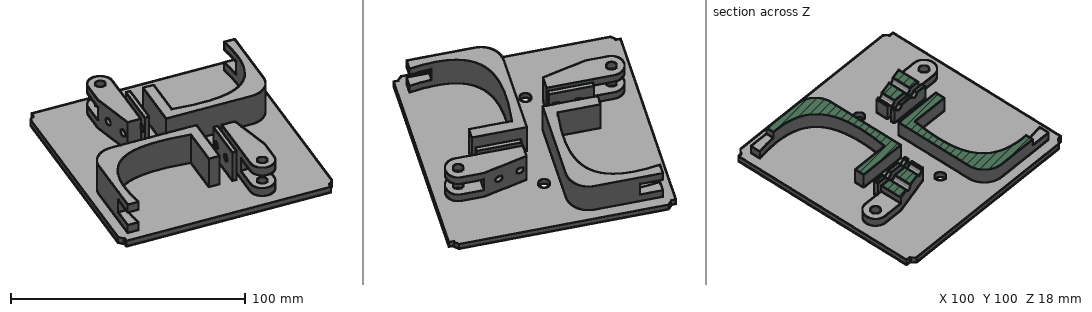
import cadquery as cq

PLATE_SIZE = 100.0
PLATE_THICKNESS = 3.0
CORNER_NOTCH = 2.2
CORNER_BEVEL = 1.7
PLATE_HOLE_DIAMETER = 5.0
PLATE_HOLE_X = 2.25
PLATE_HOLE_Y = 25.0

WALL_HEIGHT = 15.0
WALL_MIDDLE_Z = PLATE_THICKNESS + WALL_HEIGHT / 2
SLOT_HEIGHT = 6.7

HOOK_TIP_X = -45.0
HOOK_BACK_X = -4.75
HOOK_TOP_Y = 45.0
HOOK_BOTTOM_Y = -5.0
HOOK_THICKNESS = 5.0
HOOK_CORNER_RADIUS = 10.0
HOOK_SLOT_LENGTH = 10.0
FOOT_TIP_X = -29.0
INNER_CURVE_END_X = -10.0
INNER_CURVE_LOWER_HANDLE = (-6.0, 30.5)
INNER_CURVE_UPPER_HANDLE = (-12.5, 45.5)

CLAMP_LENGTH = 20.0
CLAMP_END_X = FOOT_TIP_X + CLAMP_LENGTH
STRIP_TOP_Y = -11.0
STRIP_THICKNESS = 2.0
LUG_X = -39.0
LUG_Y = -20.5
LUG_RADIUS = 5.6
PIN_HOLE_DIAMETER = 4.5
ARM_END_WIDTH = 6.2
SCREW_HOLE_DIAMETER = 3.3
SCREW_XS = (-22.0, -12.0)


def box(x_min, x_max, y_min, y_max, z_min, height):
    """Axis-aligned block given by its limits in X and Y, its floor and its height."""
    block = cq.Workplane("XY").box(x_max - x_min, y_max - y_min, height, centered=False)
    return block.translate((x_min, y_min, z_min))


def prong_slot(x_min, x_max, y_min, y_max):
    """Cutter for the gap at mid height of a wall."""
    return box(x_min, x_max, y_min, y_max, WALL_MIDDLE_Z - SLOT_HEIGHT / 2, SLOT_HEIGHT)


def wall_plane():
    """Workplane on top of the plate, where the walls start."""
    return cq.Workplane("XY").workplane(offset=PLATE_THICKNESS)


def turned(body):
    """Copy of a body turned half a revolution about the plate's centre."""
    return body.rotate((0, 0, 0), (0, 0, 1), 180)


def make_plate():
    half = PLATE_SIZE / 2
    step = half - CORNER_NOTCH
    bevel_x = step - CORNER_BEVEL
    bevel_y = half - CORNER_BEVEL
    outline = []
    for sign_x, sign_y in ((1, 1), (-1, 1), (-1, -1), (1, -1)):
        corner = [
            (sign_x * half, sign_y * step),
            (sign_x * step, sign_y * step),
            (sign_x * step, sign_y * bevel_y),
            (sign_x * bevel_x, sign_y * half),
        ]
        if sign_x != sign_y:
            corner.reverse()
        outline += corner
    plate = cq.Workplane("XY").polyline(outline).close().extrude(PLATE_THICKNESS)
    hole_centres = [(PLATE_HOLE_X, PLATE_HOLE_Y), (-PLATE_HOLE_X, -PLATE_HOLE_Y)]
    holes = cq.Workplane("XY").pushPoints(hole_centres).circle(PLATE_HOLE_DIAMETER / 2)
    return plate.cut(holes.extrude(PLATE_THICKNESS))


def make_hook():
    foot_top_y = HOOK_BOTTOM_Y + HOOK_THICKNESS
    tip_low_y = HOOK_TOP_Y - HOOK_THICKNESS
    inner_curve = [
        (INNER_CURVE_END_X, foot_top_y),
        INNER_CURVE_LOWER_HANDLE,
        INNER_CURVE_UPPER_HANDLE,
        (HOOK_TIP_X, tip_low_y),
    ]
    hook = (
        wall_plane()
        .moveTo(HOOK_TIP_X, HOOK_TOP_Y)
        .lineTo(HOOK_BACK_X - HOOK_CORNER_RADIUS, HOOK_TOP_Y)
        .radiusArc((HOOK_BACK_X, HOOK_TOP_Y - HOOK_CORNER_RADIUS), HOOK_CORNER_RADIUS)
        .lineTo(HOOK_BACK_X, HOOK_BOTTOM_Y)
        .lineTo(FOOT_TIP_X, HOOK_BOTTOM_Y)
        .lineTo(FOOT_TIP_X, foot_top_y)
        .lineTo(INNER_CURVE_END_X, foot_top_y)
        .bezier(inner_curve)
        .close()
        .extrude(WALL_HEIGHT)
    )
    slot = prong_slot(HOOK_TIP_X, HOOK_TIP_X + HOOK_SLOT_LENGTH, foot_top_y, HOOK_TOP_Y)
    return hook.cut(slot)


def make_screw_holes():
    """Cutters running along Y through the arm and the strip."""
    centres = [(x, WALL_MIDDLE_Z) for x in SCREW_XS]
    plane = cq.Workplane("XZ", origin=(0, STRIP_TOP_Y, 0))
    depth = STRIP_TOP_Y - (LUG_Y - LUG_RADIUS)
    return plane.pushPoints(centres).circle(SCREW_HOLE_DIAMETER / 2).extrude(depth)


def make_strip():
    return box(FOOT_TIP_X, CLAMP_END_X, STRIP_TOP_Y - STRIP_THICKNESS, STRIP_TOP_Y,
               PLATE_THICKNESS, WALL_HEIGHT)


def make_arm():
    top_y = LUG_Y + LUG_RADIUS
    bottom_y = LUG_Y - LUG_RADIUS
    arm = (
        wall_plane()
        .moveTo(LUG_X, top_y)
        .lineTo(CLAMP_END_X, top_y)
        .lineTo(CLAMP_END_X, top_y - ARM_END_WIDTH)
        .lineTo(FOOT_TIP_X, bottom_y)
        .lineTo(LUG_X, bottom_y)
        .threePointArc((LUG_X - LUG_RADIUS, LUG_Y), (LUG_X, top_y))
        .close()
        .extrude(WALL_HEIGHT)
    )
    pin_hole = wall_plane().center(LUG_X, LUG_Y).circle(PIN_HOLE_DIAMETER / 2).extrude(WALL_HEIGHT)
    slot = prong_slot(LUG_X - LUG_RADIUS, FOOT_TIP_X, bottom_y, top_y)
    return arm.cut(pin_hole).cut(slot)


result = make_plate()
clamp = make_arm().union(make_strip()).cut(make_screw_holes())
for body in (make_hook(), clamp):
    result = result.union(body).union(turned(body))